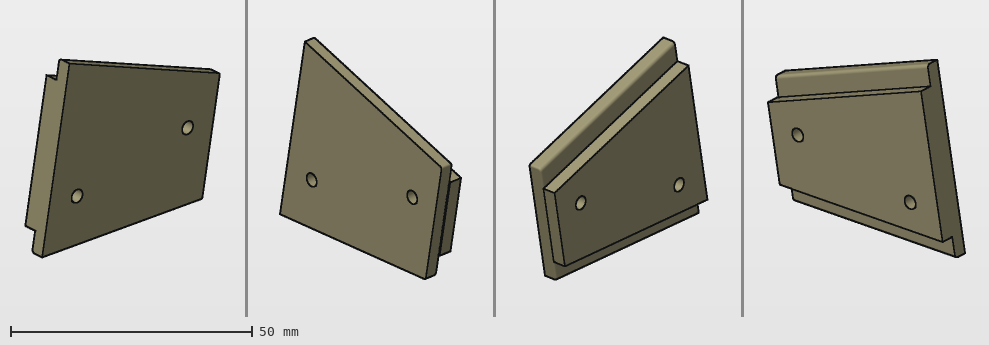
import cadquery as cq
import math

thickness = 6.4
pad_thickness = 3.15
height = 42.25
base_length = 43.6
end_lean = math.radians(10)
top_slope = math.radians(20)
ledge_width = 4.7
long_edge_radius = 0.75
end_edge_radius = 0.5
hole_diameter = 3.0
hole_centers = [(9.5, 11.15), (39.55, 17.55)]


def leaning_outline(bottom, top_drop):
    """Corners between the two end faces, trimmed below and above."""
    lean = math.tan(end_lean)
    slope = math.tan(top_slope)
    top_at_origin = height + height * lean * slope - top_drop
    corners = []
    for foot in (0, base_length):
        top_z = (top_at_origin - foot * slope) / (1 + lean * slope)
        corners.append([(foot + bottom * lean, bottom), (foot + top_z * lean, top_z)])
    near, far = corners
    return [near[0], far[0], far[1], near[1]]


def plate(outline, start_x, end_x):
    return cq.Workplane("YZ", origin=(start_x, 0, 0)).polyline(outline).close().extrude(end_x - start_x)


flange = plate(leaning_outline(0, 0), pad_thickness, thickness)
flange = flange.faces("<X").edges("<Z or >Z").fillet(long_edge_radius)
end_direction = cq.Vector(0, math.cos(end_lean), -math.sin(end_lean))
end_face = flange.faces(cq.DirectionMinMaxSelector(end_direction, True))
flange = end_face.edges("not >X").fillet(end_edge_radius)

pad_outline = leaning_outline(ledge_width, ledge_width / math.cos(top_slope))
pad = plate(pad_outline, 0, pad_thickness)

holes = (
    cq.Workplane("YZ")
    .pushPoints(hole_centers)
    .circle(hole_diameter / 2)
    .extrude(thickness)
)

result = flange.union(pad).cut(holes)